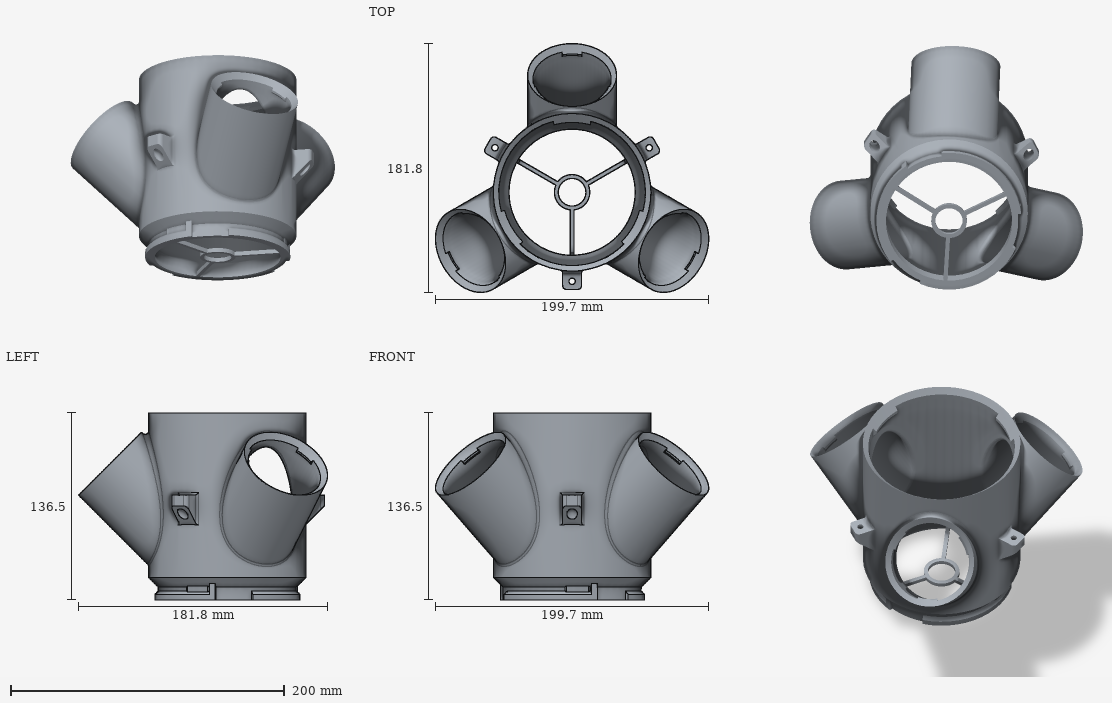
import cadquery as cq
import math

TOTAL_HEIGHT = 136.5
BODY_RADIUS = 57.5
WALL = 4.0
BODY_BORE_RADIUS = BODY_RADIUS - WALL
SHOULDER_Z = 16.5
NECK_RADIUS = 50.5
NECK_TOP_Z = SHOULDER_Z - (BODY_RADIUS - NECK_RADIUS)
NECK_BORE_RADIUS = 46.0
INNER_CONE_TOP_Z = 18.2
INNER_CONE_BOTTOM_Z = INNER_CONE_TOP_Z - (BODY_BORE_RADIUS - NECK_BORE_RADIUS)

REPEAT_ANGLES = (0, 120, 240)

BRANCH_RADIUS = 32.5
BRANCH_BORE_RADIUS = BRANCH_RADIUS - WALL
BRANCH_TILT = 45
BRANCH_DIRECTION = 90
BRANCH_START_REACH = 30.0
BRANCH_END_REACH = 85.6
BRANCH_END_Z = 99.5
BRANCH_LENGTH = (BRANCH_END_REACH - BRANCH_START_REACH) / math.sin(math.radians(BRANCH_TILT))
BRANCH_FILLET = 2.5
BRANCH_INNER_FILLET = 2.75

TAB_SPAN = 30
BODY_TAB_DEPTH = 2.5
BODY_TAB_LAND = 2.6
BRANCH_TAB_DEPTH = 1.4
BRANCH_TAB_LAND = 1.5

FLANGE_RADIUS = 53.0
FLANGE_LAND_Z = 4.1
FLANGE_START = -39.5
STOP_START = 45.7
STOP_END = 50.4
STOP_TOP_Z = 12.0
BUMP_RADIUS = 51.3
BUMP_START = 24.0
BUMP_END = 45.0
BUMP_RAMP = 1.5

LUG_DIRECTION = -90
LUG_REACH = 71.0
LUG_ROOT = BODY_RADIUS - WALL / 2
LUG_WIDTH = 14.0
LUG_TOP_Z = 76.5
LUG_TIP_HEIGHT = 7.75
LUG_TIP_Z = LUG_TOP_Z - LUG_TIP_HEIGHT
LUG_BASE_Z = LUG_TIP_Z - (LUG_REACH - BODY_RADIUS)
LUG_CORNER_RADIUS = 3.0
LUG_FILLET = 2.0
LUG_HOLE_DIAMETER = 4.5
LUG_HOLE_REACH = 65.0
LUG_RECESS_DIAMETER = 7.6
LUG_RECESS_ROOF = 3.0

HUB_RADIUS = 13.0
HUB_BORE_RADIUS = 10.0
SPOKE_WIDTH = 3.0
SPOKE_HEIGHT = 3.0
SPOKE_CHAMFER = 1.5
SPOKE_DIRECTION = -90

OVERLAP = 1.0
TOLERANCE = 0.01


def ring_segment(section, start, end):
    """Sweep a closed (radius, z) section around Z between two angles in degrees."""
    sweep = cq.Workplane("XZ").polyline(section).close().revolve(end - start, (0, 0), (0, 1))
    return sweep.rotate((0, 0, 0), (0, 0, 1), start)


def around_axis(piece, direction=0):
    """Turn a piece to its direction and return its three evenly spaced copies as one object."""
    copies = [piece.rotate((0, 0, 0), (0, 0, 1), direction + angle) for angle in REPEAT_ANGLES]
    return copies[0].add(copies[1]).add(copies[2]).combine()


def place_branch(piece):
    """Move a piece whose mouth is at the origin, facing +Z, to the mouth of the branch along +X."""
    tilted = piece.rotate((0, 0, 0), (0, 1, 0), BRANCH_TILT)
    return tilted.translate((BRANCH_END_REACH, 0, BRANCH_END_Z))


def mouth_tabs(bore_radius, tab_depth, tab_land):
    """Locking tabs in a bore below a mouth at Z = 0, before the mouth cone trims their tops."""
    tip_radius = bore_radius - tab_depth
    tip_bottom = -WALL - tab_depth - tab_land
    section = [
        (tip_radius, OVERLAP),
        (tip_radius, tip_bottom),
        (bore_radius + OVERLAP, tip_bottom - tab_depth - OVERLAP),
        (bore_radius + OVERLAP, OVERLAP),
    ]
    return around_axis(ring_segment(section, -TAB_SPAN / 2, TAB_SPAN / 2))


def mouth_bore(bore_radius, length, tab_depth, tab_land):
    """Bore below a mouth at Z = 0 that leaves the tabs and opens as a 45 degree cone."""
    rim_radius = bore_radius + WALL
    cone_tip_radius = bore_radius - tab_depth - OVERLAP
    cone = ring_segment(
        [
            (0, OVERLAP),
            (rim_radius + OVERLAP, OVERLAP),
            (cone_tip_radius, cone_tip_radius - rim_radius),
            (0, cone_tip_radius - rim_radius),
        ],
        0,
        360,
    )
    bore = cq.Workplane("XY").circle(bore_radius).extrude(-length)
    return bore.cut(mouth_tabs(bore_radius, tab_depth, tab_land)).union(cone)


def body_blank():
    """Solid main tube with its shoulder and neck."""
    section = [
        (0, 0),
        (NECK_RADIUS, 0),
        (NECK_RADIUS, NECK_TOP_Z),
        (BODY_RADIUS, SHOULDER_Z),
        (BODY_RADIUS, TOTAL_HEIGHT),
        (0, TOTAL_HEIGHT),
    ]
    return ring_segment(section, 0, 360)


def body_bore():
    """Main bore with its tabbed mouth at the top and its cone down to the neck."""
    upper_length = TOTAL_HEIGHT - INNER_CONE_TOP_Z
    upper = mouth_bore(BODY_BORE_RADIUS, upper_length, BODY_TAB_DEPTH, BODY_TAB_LAND)
    upper = upper.rotate((0, 0, 0), (0, 0, 1), BRANCH_DIRECTION).translate((0, 0, TOTAL_HEIGHT))
    section = [
        (0, -OVERLAP),
        (NECK_BORE_RADIUS, -OVERLAP),
        (NECK_BORE_RADIUS, INNER_CONE_BOTTOM_Z),
        (BODY_BORE_RADIUS, INNER_CONE_TOP_Z),
        (0, INNER_CONE_TOP_Z),
    ]
    return upper.union(ring_segment(section, 0, 360))


def add_branches(body):
    """Join the branches as solid cylinders, with a fillet around each foot."""
    tube = cq.Workplane("XY").circle(BRANCH_RADIUS).extrude(-BRANCH_LENGTH)
    joined = body.union(around_axis(place_branch(tube), BRANCH_DIRECTION))
    return joined.edges("%BSPLINE").fillet(BRANCH_FILLET)


def branch_bores():
    """Bores of all branches, with their tabbed mouths."""
    bore = mouth_bore(BRANCH_BORE_RADIUS, BRANCH_LENGTH, BRANCH_TAB_DEPTH, BRANCH_TAB_LAND)
    return around_axis(place_branch(bore), BRANCH_DIRECTION)


def open_branches(body):
    """Bore the branches and round the edges where their bores enter the main bore."""
    opened = body.cut(branch_bores())

    def is_on_body_bore(edge):
        start = edge.startPoint()
        return abs(math.hypot(start.x, start.y) - BODY_BORE_RADIUS) < TOLERANCE

    bore_edges = [edge for edge in opened.edges("%BSPLINE").vals() if is_on_body_bore(edge)]
    return opened.newObject(bore_edges).fillet(BRANCH_INNER_FILLET)


def lug():
    """Block along +X whose underside falls at 45 degrees from the tip to the body."""
    side = [
        (LUG_ROOT, LUG_TOP_Z),
        (LUG_REACH, LUG_TOP_Z),
        (LUG_REACH, LUG_TIP_Z),
        (LUG_ROOT, LUG_TIP_Z - (LUG_REACH - LUG_ROOT)),
    ]
    block = cq.Workplane("XZ").polyline(side).close().extrude(LUG_WIDTH / 2, both=True)
    return block.edges("|Z and >X").fillet(LUG_CORNER_RADIUS)


def lug_hole():
    """Screw hole through a lug, widened from below by a recess for the screw head."""
    recess_height = LUG_TOP_Z - LUG_RECESS_ROOF - LUG_BASE_Z
    center = cq.Workplane("XY").workplane(offset=LUG_BASE_Z).center(LUG_HOLE_REACH, 0)
    recess = center.circle(LUG_RECESS_DIAMETER / 2).extrude(recess_height)
    return center.circle(LUG_HOLE_DIAMETER / 2).extrude(LUG_TOP_Z - LUG_BASE_Z + OVERLAP).union(recess)


def add_lugs(body):
    """Join the lugs, filleting their tops and sides to the body, and drill them."""
    joined = body.union(around_axis(lug(), LUG_DIRECTION))

    def is_root_edge(edge):
        center = edge.Center()
        near_wall = math.hypot(center.x, center.y) < BODY_RADIUS + OVERLAP
        beside_lug = LUG_BASE_Z + OVERLAP < center.z < LUG_TOP_Z + OVERLAP
        return near_wall and beside_lug and edge.Length() < LUG_TOP_Z - LUG_BASE_Z + OVERLAP

    root_edges = [edge for edge in joined.edges().vals() if is_root_edge(edge)]
    filleted = joined.newObject(root_edges).fillet(LUG_FILLET)
    return filleted.cut(around_axis(lug_hole(), LUG_DIRECTION))


def bayonet():
    """Three flange lengths around the neck, each ending at a stop, with their bumps."""
    root = NECK_RADIUS - OVERLAP
    lip = FLANGE_RADIUS - NECK_RADIUS
    flange = ring_segment(
        [
            (root, 0),
            (FLANGE_RADIUS, 0),
            (FLANGE_RADIUS, FLANGE_LAND_Z),
            (root, FLANGE_LAND_Z + lip + OVERLAP),
        ],
        FLANGE_START,
        STOP_START + OVERLAP,
    )
    stop = ring_segment(
        [(root, 0), (FLANGE_RADIUS, 0), (FLANGE_RADIUS, STOP_TOP_Z), (root, STOP_TOP_Z)],
        STOP_START,
        STOP_END,
    )
    return around_axis(flange.union(stop).union(bump()))


def polar(radius, angle):
    """X and Y of a point at a radius and an angle in degrees."""
    return (radius * math.cos(math.radians(angle)), radius * math.sin(math.radians(angle)))


def bump():
    """Friction bump between the flange and the shoulder, with a ramp at each end."""
    root = NECK_RADIUS - OVERLAP
    middle = (BUMP_START + BUMP_END) / 2
    return (
        cq.Workplane("XY")
        .workplane(offset=FLANGE_LAND_Z)
        .moveTo(*polar(root, BUMP_START))
        .lineTo(*polar(NECK_RADIUS, BUMP_START))
        .lineTo(*polar(BUMP_RADIUS, BUMP_START + BUMP_RAMP))
        .threePointArc(polar(BUMP_RADIUS, middle), polar(BUMP_RADIUS, BUMP_END - BUMP_RAMP))
        .lineTo(*polar(NECK_RADIUS, BUMP_END))
        .lineTo(*polar(root, BUMP_END))
        .threePointArc(polar(root, middle), polar(root, BUMP_START))
        .close()
        .extrude(NECK_TOP_Z + OVERLAP - FLANGE_LAND_Z)
    )


def spider():
    """Three spokes carrying a central ring, with a small chamfer where they meet the neck."""
    spoke_end = NECK_BORE_RADIUS + OVERLAP
    spoke_start = (HUB_RADIUS + HUB_BORE_RADIUS) / 2
    side = [
        (spoke_start, 0),
        (spoke_end, 0),
        (spoke_end, SPOKE_HEIGHT + SPOKE_CHAMFER + OVERLAP),
        (NECK_BORE_RADIUS - SPOKE_CHAMFER, SPOKE_HEIGHT),
        (spoke_start, SPOKE_HEIGHT),
    ]
    spoke = cq.Workplane("XZ").polyline(side).close().extrude(SPOKE_WIDTH / 2, both=True)
    hub = cq.Workplane("XY").circle(HUB_RADIUS).circle(HUB_BORE_RADIUS).extrude(SPOKE_HEIGHT)
    return hub.union(around_axis(spoke, SPOKE_DIRECTION))


result = add_lugs(add_branches(body_blank()))
result = result.union(bayonet())
result = result.cut(body_bore())
result = open_branches(result)
result = result.union(spider())